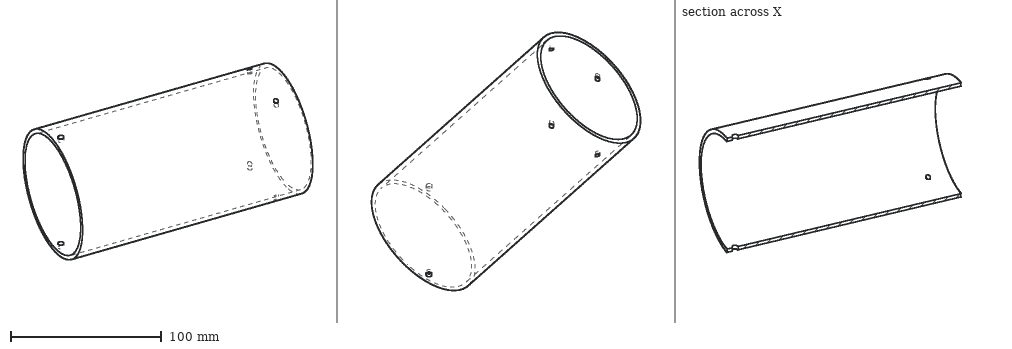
import cadquery as cq

outer_diameter = 90.0
wall_thickness = 3.0
length = 170.0
inner_diameter = outer_diameter - 2 * wall_thickness

front_hole_diameter = 4.0
front_hole_inset = 6.0

rear_hole_diameter = 3.0
rear_hole_inset = 15.0
rear_hole_spacing = 40.0


def make_tube():
    """Plain round tube running from Y = 0 to Y = length."""
    profile = cq.Workplane("XZ").circle(outer_diameter / 2).circle(inner_diameter / 2)
    return profile.extrude(-length)


def vertical_drill(x, y, diameter):
    """Cylinder along Z that pierces both the upper and the lower wall."""
    return (
        cq.Workplane("XY")
        .center(x, y)
        .circle(diameter / 2)
        .extrude(outer_diameter / 2, both=True)
    )


result = make_tube()

result = result.cut(vertical_drill(0, front_hole_inset, front_hole_diameter))

for side in (-1, 1):
    rear_hole_x = side * rear_hole_spacing / 2
    rear_hole_y = length - rear_hole_inset
    result = result.cut(vertical_drill(rear_hole_x, rear_hole_y, rear_hole_diameter))